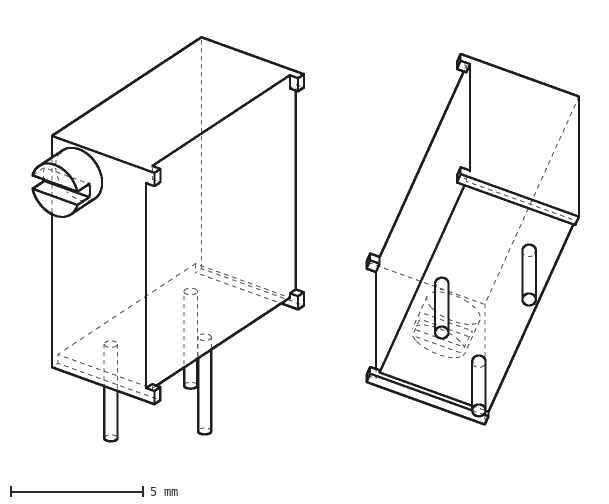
import cadquery as cq


total_height = 13.73
total_length = 11.05

housing_thickness = 4.83
housing_length = 9.53
housing_height = 10.04
standoff = 0.38
standoff_width = 0.38
pad_height = 0.58

screw_diameter = 2.2
screw_x = 1.28
screw_drop = 1.25
screw_length = total_length - housing_length
slot_width = 0.58
slot_depth = 0.75

pin_diameter = 0.51
pin_pitch = 2.54
outer_pin_x = 1.14
pin_drop = total_height - housing_height
pin_length = pin_drop + standoff


def box(x_range, y_range, z_range):
    """Box between the given (low, high) limits on each axis."""
    (x0, x1), (y0, y1), (z0, z1) = x_range, y_range, z_range
    return cq.Workplane("XY").box(x1 - x0, y1 - y0, z1 - z0, centered=False).translate((x0, y0, z0))


def make_housing():
    """Block with four corner pads on the +X face and a foot across each end of the base."""
    full_x = (0, housing_thickness)
    full_y = (0, housing_length)
    full_z = (0, housing_height)
    recess_x = (housing_thickness - standoff, housing_thickness)
    between_standoffs = (standoff_width, housing_length - standoff_width)
    between_pads = (pad_height, housing_height - pad_height)

    block = box(full_x, full_y, full_z)
    block = block.cut(box(recess_x, full_y, between_pads))
    block = block.cut(box(recess_x, between_standoffs, full_z))
    return block.cut(box(full_x, between_standoffs, (0, standoff)))


def make_screw():
    """Slotted round screw that stands out from the -Y face."""
    radius = screw_diameter / 2
    screw_z = housing_height - screw_drop
    shaft = (
        cq.Workplane("XZ", origin=(screw_x, 0, screw_z))
        .circle(radius)
        .extrude(screw_length)
    )
    slot = box(
        (screw_x - radius, screw_x + radius),
        (-screw_length, slot_depth - screw_length),
        (screw_z - slot_width / 2, screw_z + slot_width / 2),
    )
    return shaft.cut(slot)


def make_pin(x, y):
    """Round pin hanging from the ceiling of the base channel."""
    return cq.Workplane("XY", origin=(x, y, -pin_drop)).circle(pin_diameter / 2).extrude(pin_length)


housing = make_housing()
screw = make_screw()

pins = []
for step in (-1, 0, 1):
    pin_x = outer_pin_x + pin_pitch * (1 - abs(step))
    pin_y = housing_length / 2 + pin_pitch * step
    pins.append(make_pin(pin_x, pin_y).val())

result = cq.Compound.makeCompound([housing.val(), screw.val(), *pins])